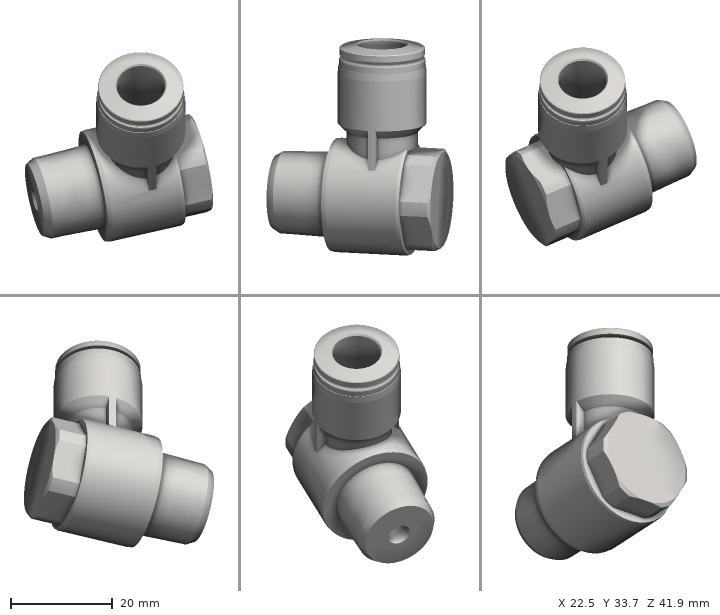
import cadquery as cq
import math


overall_height = 41.9

body_radius = 22.5 / 2
body_front_y = -9.6
body_back_y = 6.05
body_edge_depth = 0.15
body_front_edge_length = 0.85
body_back_edge_length = 0.55

thread_length = 12.0
thread_root_radius = 16.9 / 2
thread_taper = 1 / 32
thread_tip_chamfer = 1.5
thread_tip_angle = 30

hex_across_flats = 19.0
hex_corner_radius = 20.5 / 2
hex_length = 6.05
hex_chamfer_length = 0.5
hex_face_radius = 9.5

post_radius = 14.0 / 2
post_bottom_z = 10.3
shoulder_bottom_z = 13.2
shoulder_top_z = 14.95
socket_radius = 17.5 / 2
socket_top_z = 24.95
sleeve_bottom_z = 26.45
sleeve_bottom_radius = 17.2 / 2
sleeve_radius = 17.0 / 2
sleeve_top_z = 27.9
sleeve_chamfer_height = 0.25
sleeve_chamfer_depth = 0.1

collar_radius = 16.8 / 2
neck_radius = 11.53 / 2
neck_flare_depth = 0.12
neck_flare_height = 0.2
collar_bottom_z = 28.7
collar_rim_z = 29.95
collar_rim_chamfer = 0.15
collar_top_z = overall_height - body_radius

tube_bore_radius = 9.53 / 2
tube_bore_mouth_radius = 10.1 / 2
tube_bore_chamfer = 0.3
tube_stop_z = shoulder_top_z
passage_radius = 4.5 / 2

rib_thickness = 1.5


def turned_about_y(points):
    """Revolve a (radius, y) outline about the Y axis."""
    return cq.Workplane("XY").polyline(points).close().revolve(360, (0, 0, 0), (0, 1, 0))


def turned_about_z(points):
    """Revolve a (radius, z) outline about the Z axis."""
    return cq.Workplane("XZ").polyline(points).close().revolve(360, (0, 0, 0), (0, 1, 0))


def make_body():
    end_radius = body_radius - body_edge_depth
    return turned_about_y([
        (0, body_front_y),
        (end_radius, body_front_y),
        (body_radius, body_front_y + body_front_edge_length),
        (body_radius, body_back_y - body_back_edge_length),
        (end_radius, body_back_y),
        (0, body_back_y),
    ])


def make_thread():
    tip_y = body_front_y - thread_length
    cone_length = thread_length - thread_tip_chamfer
    cone_end_radius = thread_root_radius - cone_length * thread_taper
    tip_radius = cone_end_radius - thread_tip_chamfer * math.tan(math.radians(thread_tip_angle))
    return turned_about_y([
        (0, body_front_y),
        (thread_root_radius, body_front_y),
        (cone_end_radius, tip_y + thread_tip_chamfer),
        (tip_radius, tip_y),
        (0, tip_y),
    ])


def make_hexagon():
    """Hexagon with flats up and down, its corners turned round and its end chamfered."""
    end_y = body_back_y + hex_length
    prism = (
        cq.Workplane("XZ", origin=(0, end_y, 0))
        .polygon(6, hex_across_flats / math.cos(math.pi / 6))
        .extrude(hex_length)
    )
    turned_envelope = turned_about_y([
        (0, body_back_y),
        (hex_corner_radius, body_back_y),
        (hex_corner_radius, end_y - hex_chamfer_length),
        (hex_face_radius, end_y),
        (0, end_y),
    ])
    return prism.intersect(turned_envelope)


def make_socket():
    """Socket with its collar, at full width down to the body axis."""
    return turned_about_z([
        (0, 0),
        (socket_radius, 0),
        (socket_radius, socket_top_z),
        (sleeve_bottom_radius, sleeve_bottom_z),
        (sleeve_radius, sleeve_bottom_z),
        (sleeve_radius, sleeve_top_z - sleeve_chamfer_height),
        (sleeve_radius - sleeve_chamfer_depth, sleeve_top_z),
        (neck_radius, sleeve_top_z),
        (neck_radius, collar_bottom_z - neck_flare_height),
        (neck_radius + neck_flare_depth, collar_bottom_z),
        (collar_radius, collar_bottom_z),
        (collar_radius, collar_rim_z),
        (collar_radius - collar_rim_chamfer, collar_rim_z + collar_rim_chamfer),
        (tube_bore_mouth_radius, collar_top_z),
        (0, collar_top_z),
    ])


def make_post_relief():
    """Space around the post below the shoulder, leaving a thin rib standing on each side."""
    clear_radius = 2 * socket_radius
    ring = turned_about_z([
        (post_radius, 0),
        (post_radius, shoulder_bottom_z),
        (socket_radius, shoulder_top_z),
        (clear_radius, shoulder_top_z),
        (clear_radius, 0),
    ])
    rib_plate = cq.Workplane("XY").rect(2 * clear_radius, rib_thickness).extrude(shoulder_top_z)
    return ring.cut(rib_plate)


def make_overhang_cut():
    """Space below the part of the post that overhangs the back face of the body."""
    clear_width = 2 * socket_radius
    return (
        cq.Workplane("XY", origin=(0, body_back_y, 0))
        .box(clear_width, socket_radius, post_bottom_z, centered=(True, False, False))
    )


def make_tube_bore():
    return turned_about_z([
        (0, tube_stop_z),
        (tube_bore_radius, tube_stop_z),
        (tube_bore_radius, collar_top_z - tube_bore_chamfer),
        (tube_bore_mouth_radius, collar_top_z),
        (0, collar_top_z),
    ])


def make_passage():
    """Two equal drillings that meet at the origin in a ball-shaped elbow."""
    upright = cq.Workplane("XY").circle(passage_radius).extrude(tube_stop_z)
    level = cq.Workplane("XZ").circle(passage_radius).extrude(thread_length - body_front_y)
    elbow = cq.Workplane("XY").sphere(passage_radius)
    return upright.union(level).union(elbow)


socket = make_socket().cut(make_post_relief()).cut(make_overhang_cut())
outside = make_body().union(make_thread()).union(make_hexagon()).union(socket)
result = outside.cut(make_tube_bore()).cut(make_passage()).solids()